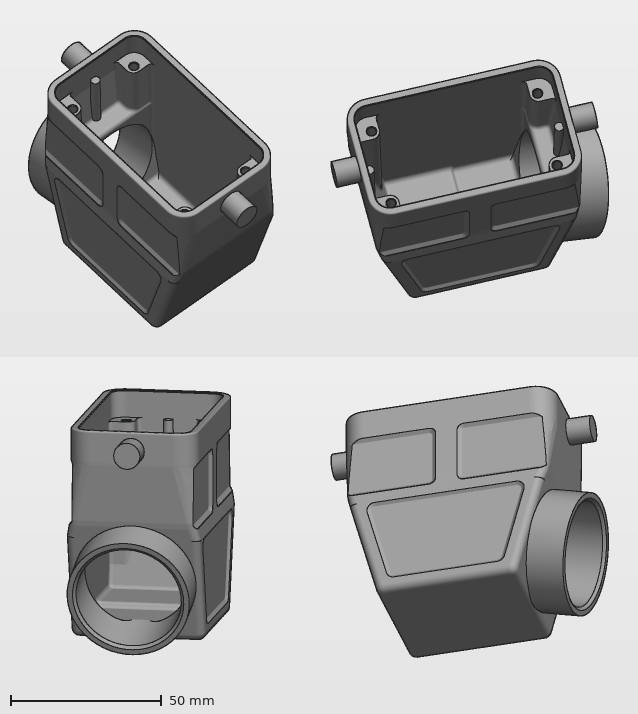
import cadquery as cq
import math

HEIGHT = 71.9
RIM_LENGTH = 72.6
RIM_WIDTH = 43.0
RIM_CORNER = 7.5
RIM_EDGE = 0.55
BAND_Z = 60.9
WAIST_Z = 40.4
WAIST_LENGTH = 69.4
WAIST_CORNER = 2.9
BAND_BLEND = 0.5
WAIST_BLEND = 0.9
SHOULDER_Z = 35.3
BASE_WIDTH = 45.0
BASE_CORNER = 2.6
BASE_EDGE = 2.5
LEAN = math.radians(15)

PIN_RADIUS = 4.4
PIN_Z = 65.7
PIN_TIP_X = 44.5

ENTRY_RADIUS = 20.55
ENTRY_BORE = 17.7
ENTRY_MOUTH_CHAMFER = 1.0
ENTRY_X = -41.9
ENTRY_Z = 16.9
ENTRY_LENGTH = 15.6
ENTRY_BORE_LENGTH = 31.2

CAVITY_LENGTH = 67.5
CAVITY_WIDTH = 37.6
CAVITY_CORNER = 4.7
CAVITY_DRAFT = 0.5
CAVITY_RIM_EDGE = 0.3
CAVITY_FOLD_Z = 59.6
END_WALL = 2.9
LEFT_FLOOR_Z = 5.05
RIGHT_FLOOR_Z = 7.0
FLOOR_STEP_LEFT = -0.8
FLOOR_STEP_RIGHT = 0.2
SHELF_Z = 42.2
SHELF_EDGE_X = -25.0
LEFT_KNEE_Z = 24.8
LEFT_FLOOR_X = -21.0
FLOOR_FILLET = 1.65
SHELF_FILLET = 1.5

POST_TOP_Z = 62.8
POST_INNER_X = 25.7
POST_INNER_Y = 10.5
POST_CORNER = 2.9
POST_DRAFT = 1.0
POST_ROOT_FILLET = 1.3
RIGHT_ROOT_LOW_Z = 27.5
POST_HOLE_X = 28.35
POST_HOLE_Y = 13.4
POST_HOLE_RADIUS = 1.5
POST_HOLE_CHAMFER = 0.3
POST_HOLE_DEPTH = 13.8
RIB_RADIUS = 1.6
RIB_X = 32.4
RIB_DRAFT = 0.8

UPPER_PANEL_DEPTH = 1.1
UPPER_PANEL_INNER_X = 3.7
UPPER_PANEL_BOTTOM_Z = 39.45
UPPER_PANEL_TOP_Z = 61.3
UPPER_PANEL_CORNER = 2.4
LOWER_PANEL_DEPTH = 0.9
LOWER_PANEL_TOP_Z = 34.9
LOWER_PANEL_BOTTOM_Z = 4.6
LOWER_PANEL_TOP_LENGTH = 55.8
LOWER_PANEL_CORNER = 2.75
PANEL_FLOOR_FILLET = 0.5
PANEL_OVERCUT = 0.5
PANEL_WALL_SLOPE = 50


def half_length_at(z):
    """Half length of the hood below the waist, where the end walls lean inwards."""
    return WAIST_LENGTH / 2 - (WAIST_Z - z) * math.tan(LEAN)


def box_between(corner, opposite):
    """Selector for edges centred inside the box spanned by two opposite corners."""
    return cq.selectors.BoxSelector(corner, opposite)


def rounded_rectangle(length, width, corner):
    return cq.Sketch().rect(length, width).vertices().fillet(corner)


def tapered_layer(lower, upper):
    """Straight-sided layer between two levels given as (z, length, width, corner radius)."""
    lower_z, *lower_size = lower
    upper_z, *upper_size = upper
    rise = cq.Location(cq.Vector(0, 0, upper_z - lower_z))
    return (
        cq.Workplane("XY", origin=(0, 0, lower_z))
        .placeSketch(rounded_rectangle(*lower_size), rounded_rectangle(*upper_size).moved(rise))
        .loft(ruled=True)
    )


def make_base():
    """Lower part of the hood, with leaning end walls and a rounded underside."""
    foot_x = half_length_at(0)
    shoulder_x = half_length_at(SHOULDER_Z)
    return (
        cq.Workplane("XZ")
        .polyline([(-foot_x, 0), (foot_x, 0), (shoulder_x, SHOULDER_Z), (-shoulder_x, SHOULDER_Z)])
        .close()
        .extrude(BASE_WIDTH / 2, both=True)
        .edges("not(#Z or |Y)")
        .fillet(BASE_CORNER)
        .faces("<Z")
        .edges()
        .fillet(BASE_EDGE)
    )


def make_hood():
    flare = (RIM_LENGTH - WAIST_LENGTH) / (BAND_Z - WAIST_Z)
    widening = (BASE_WIDTH - RIM_WIDTH) / (WAIST_Z - SHOULDER_Z)
    below_waist = WAIST_Z - WAIST_BLEND
    width_below_waist = RIM_WIDTH + widening * WAIST_BLEND
    length_above_waist = WAIST_LENGTH + flare * WAIST_BLEND
    length_below_band = RIM_LENGTH - flare * BAND_BLEND
    levels = [
        (SHOULDER_Z, 2 * half_length_at(SHOULDER_Z), BASE_WIDTH, BASE_CORNER),
        (below_waist, 2 * half_length_at(below_waist), width_below_waist, WAIST_CORNER),
        (WAIST_Z + WAIST_BLEND, length_above_waist, RIM_WIDTH, WAIST_CORNER),
        (BAND_Z - BAND_BLEND, length_below_band, RIM_WIDTH, RIM_CORNER),
        (BAND_Z + BAND_BLEND, RIM_LENGTH, RIM_WIDTH, RIM_CORNER),
        (HEIGHT, RIM_LENGTH, RIM_WIDTH, RIM_CORNER),
    ]
    hood = make_base()
    for lower, upper in zip(levels[:-1], levels[1:]):
        hood = hood.union(tapered_layer(lower, upper))
    return hood.faces(">Z").edges().fillet(RIM_EDGE)


def sunk_panel(outline, corner, side, face_y, depth):
    """Cutter for a panel with sloping walls, sunk from the face at side * face_y."""
    plane = cq.Plane(origin=(0, side * face_y, 0), xDir=(1, 0, 0), normal=(0, -side, 0))
    points = [(x, z * plane.yDir.z) for x, z in outline]
    sketch = cq.Sketch().polygon(points + points[:1]).vertices().fillet(corner)
    outward = cq.Workplane(plane).placeSketch(sketch).extrude(-PANEL_OVERCUT)
    inward = cq.Workplane(plane).placeSketch(sketch).extrude(depth, taper=PANEL_WALL_SLOPE)
    floor = "<Y" if side > 0 else ">Y"
    return inward.faces(floor).edges().fillet(PANEL_FLOOR_FILLET).union(outward)


def make_upper_panels(side):
    far_x = RIM_LENGTH / 2 + 4 * UPPER_PANEL_CORNER
    cutters = cq.Workplane()
    for end in (-1, 1):
        outline = [
            (end * UPPER_PANEL_INNER_X, UPPER_PANEL_BOTTOM_Z),
            (end * far_x, UPPER_PANEL_BOTTOM_Z),
            (end * far_x, UPPER_PANEL_TOP_Z),
            (end * UPPER_PANEL_INNER_X, UPPER_PANEL_TOP_Z),
        ]
        cutters = cutters.add(
            sunk_panel(outline, UPPER_PANEL_CORNER, side, RIM_WIDTH / 2, UPPER_PANEL_DEPTH)
        )
    return cutters.combine()


def make_lower_panel(side):
    top_x = LOWER_PANEL_TOP_LENGTH / 2
    bottom_x = top_x - (LOWER_PANEL_TOP_Z - LOWER_PANEL_BOTTOM_Z) * math.tan(LEAN)
    outline = [
        (-bottom_x, LOWER_PANEL_BOTTOM_Z),
        (bottom_x, LOWER_PANEL_BOTTOM_Z),
        (top_x, LOWER_PANEL_TOP_Z),
        (-top_x, LOWER_PANEL_TOP_Z),
    ]
    return sunk_panel(outline, LOWER_PANEL_CORNER, side, BASE_WIDTH / 2, LOWER_PANEL_DEPTH)


def make_post(x_sign, y_sign):
    """Corner post with a blind screw hole; its outer part merges with the walls."""
    size_x = RIM_LENGTH / 2 + POST_CORNER - POST_INNER_X
    size_y = RIM_WIDTH / 2 + POST_CORNER - POST_INNER_Y
    post = (
        cq.Workplane("XY", origin=(0, 0, POST_TOP_Z))
        .center(x_sign * (POST_INNER_X + size_x / 2), y_sign * (POST_INNER_Y + size_y / 2))
        .placeSketch(rounded_rectangle(size_x, size_y, POST_CORNER))
        .extrude(-POST_TOP_Z, taper=-POST_DRAFT)
    )
    hole = (
        cq.Workplane("XY", origin=(x_sign * POST_HOLE_X, y_sign * POST_HOLE_Y, POST_TOP_Z))
        .circle(POST_HOLE_RADIUS)
        .extrude(-POST_HOLE_DEPTH)
    )
    mouth = (
        cq.Workplane(hole.faces(">Z").workplane().plane)
        .circle(POST_HOLE_RADIUS + POST_HOLE_CHAMFER)
        .extrude(-POST_HOLE_CHAMFER, taper=45)
    )
    return post.cut(hole).cut(mouth)


def make_end_rib(x_sign):
    return (
        cq.Workplane("XY", origin=(x_sign * RIB_X, 0, POST_TOP_Z))
        .circle(RIB_RADIUS)
        .extrude(-POST_TOP_Z, taper=-RIB_DRAFT)
    )


def make_pocket():
    """Inside volume of the hood before the posts and ribs are added."""
    end_x = RIM_LENGTH / 2
    fold_x = CAVITY_LENGTH / 2
    waist_x = WAIST_LENGTH / 2 - END_WALL
    profile = (
        cq.Workplane("XZ")
        .polyline([
            (-end_x, HEIGHT),
            (-fold_x, CAVITY_FOLD_Z),
            (-waist_x, SHELF_Z),
            (SHELF_EDGE_X, SHELF_Z),
            (SHELF_EDGE_X, LEFT_KNEE_Z),
            (LEFT_FLOOR_X, LEFT_FLOOR_Z),
            (FLOOR_STEP_LEFT, LEFT_FLOOR_Z),
            (FLOOR_STEP_RIGHT, RIGHT_FLOOR_Z),
            (half_length_at(RIGHT_FLOOR_Z) - END_WALL, RIGHT_FLOOR_Z),
            (waist_x, WAIST_Z),
            (fold_x, CAVITY_FOLD_Z),
            (end_x, HEIGHT),
        ])
        .close()
        .extrude(BASE_WIDTH / 2, both=True)
    )
    shelf_edges = box_between((-end_x, -0.9, SHELF_Z - 0.9), (SHELF_EDGE_X + 0.9, 0.9, SHELF_Z + 0.9))
    profile = profile.edges(shelf_edges).fillet(SHELF_FILLET)
    opening = rounded_rectangle(CAVITY_LENGTH, CAVITY_WIDTH, CAVITY_CORNER)
    drafted_walls = (
        cq.Workplane("XY", origin=(0, 0, HEIGHT))
        .placeSketch(opening)
        .extrude(-HEIGHT, taper=CAVITY_DRAFT)
    )
    floor_edges = box_between((-fold_x, -CAVITY_WIDTH, 0), (fold_x, CAVITY_WIDTH, RIGHT_FLOOR_Z + 0.9))
    return drafted_walls.intersect(profile).edges(floor_edges).fillet(FLOOR_FILLET)


def round_post_roots(cavity):
    """Blend each post into the side wall and the end wall beside it."""
    for x_sign in (-1, 1):
        low_z = SHELF_Z + 0.9 if x_sign < 0 else RIGHT_ROOT_LOW_Z
        for y_sign in (-1, 1):
            end_root = box_between(
                (x_sign * (POST_INNER_X + POST_CORNER + 0.5), y_sign * (POST_INNER_Y - 1.8), low_z),
                (x_sign * RIM_LENGTH / 2, y_sign * (POST_INNER_Y + 0.9), POST_TOP_Z - 0.9),
            )
            cavity = cavity.edges(end_root).fillet(POST_ROOT_FILLET)
            side_root = box_between(
                (x_sign * (POST_INNER_X - 1.8), y_sign * (CAVITY_WIDTH / 2 - 1.8), low_z),
                (x_sign * (POST_INNER_X + 0.9), y_sign * (CAVITY_WIDTH / 2 + 0.9), POST_TOP_Z - 0.9),
            )
            cavity = cavity.edges(side_root).fillet(POST_ROOT_FILLET)
    return cavity


def make_cavity():
    cavity = make_pocket()
    for x_sign in (-1, 1):
        for y_sign in (-1, 1):
            cavity = cavity.cut(make_post(x_sign, y_sign))
    cavity = round_post_roots(cavity)
    for x_sign in (-1, 1):
        cavity = cavity.cut(make_end_rib(x_sign))
    mouth_length = CAVITY_LENGTH + 2 * CAVITY_RIM_EDGE
    mouth_width = CAVITY_WIDTH + 2 * CAVITY_RIM_EDGE
    rim_chamfer = (
        cq.Workplane("XY", origin=(0, 0, HEIGHT))
        .placeSketch(rounded_rectangle(mouth_length, mouth_width, CAVITY_CORNER + CAVITY_RIM_EDGE))
        .extrude(-CAVITY_RIM_EDGE, taper=45)
    )
    return cavity.union(rim_chamfer)


def entry_plane():
    """Plane of the cable-entry mouth; its normal points into the hood."""
    return cq.Plane(
        origin=(ENTRY_X, 0, ENTRY_Z),
        xDir=(0, 1, 0),
        normal=(math.cos(LEAN), 0, math.sin(LEAN)),
    )


def make_entry_bore():
    bore = cq.Workplane(entry_plane()).circle(ENTRY_BORE).extrude(ENTRY_BORE_LENGTH)
    mouth = (
        cq.Workplane(entry_plane())
        .circle(ENTRY_BORE + ENTRY_MOUTH_CHAMFER)
        .extrude(ENTRY_MOUTH_CHAMFER, taper=45)
    )
    return bore.union(mouth)


hood = make_hood()
for side in (-1, 1):
    hood = hood.cut(make_upper_panels(side)).cut(make_lower_panel(side))
pins = cq.Workplane("YZ").center(0, PIN_Z).circle(PIN_RADIUS).extrude(PIN_TIP_X, both=True)
entry = cq.Workplane(entry_plane()).circle(ENTRY_RADIUS).extrude(ENTRY_LENGTH)

result = hood.union(pins).union(entry).cut(make_cavity()).cut(make_entry_bore())